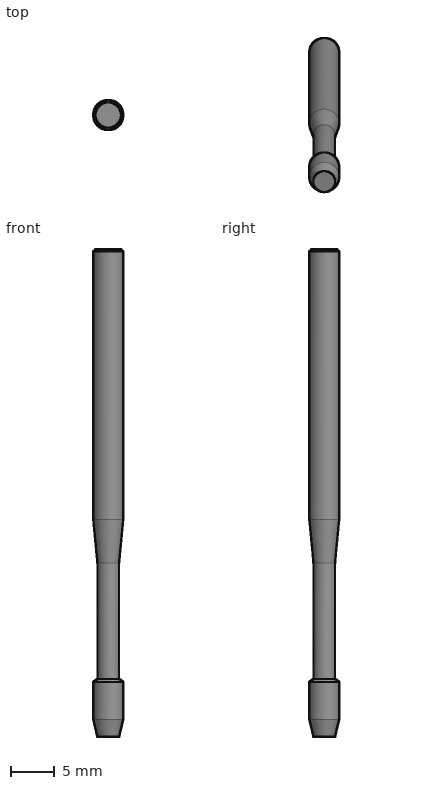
import cadquery as cq

total_length = 56.0
tool_diameter = 3.5
neck_diameter = 2.5
tip_diameter = 2.5

tip_height = 2.0
head_shoulder_z = 6.3
head_top_z = 6.65
neck_top_z = 20.0
shank_start_z = 25.0
shank_chamfer = 0.3

tool_radius = tool_diameter / 2
neck_radius = neck_diameter / 2


def turned_body(outer_points):
    """Revolve an outer (radius, z) outline, closed along the Z axis."""
    bottom_z = outer_points[0][1]
    top_z = outer_points[-1][1]
    outline = [(0, bottom_z), *outer_points, (0, top_z)]
    return cq.Workplane("XZ").polyline(outline).close().revolve(360, (0, 0), (0, 1))


cutting_head = turned_body([
    (tip_diameter / 2, 0),
    (tool_radius, tip_height),
    (tool_radius, head_shoulder_z),
    (neck_radius, head_top_z),
])

shank = turned_body([
    (neck_radius, head_top_z),
    (neck_radius, neck_top_z),
    (tool_radius, shank_start_z),
    (tool_radius, total_length - shank_chamfer),
    (tool_radius - shank_chamfer, total_length),
])

result = cq.Compound.makeCompound([cutting_head.val(), shank.val()])